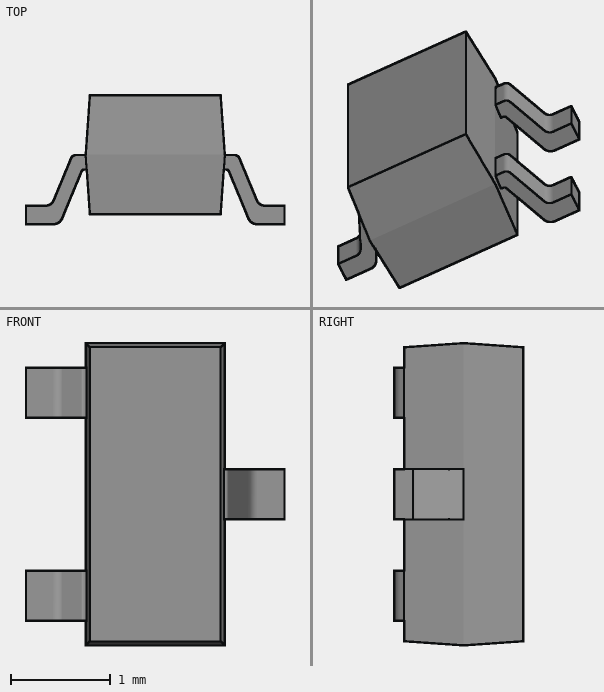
import cadquery as cq
import math


housing_width = 1.4
housing_length = 3.04
housing_depth = 1.2
half_depth = housing_depth / 2
standoff = 0.1
parting_y = standoff + half_depth
draft_angle = 4.0

lead_span = 2.6
lead_width = 0.505
lead_pitch = 2.04
foot_thickness = 0.19
shank_thickness = 0.15
foot_length = 0.34
slope_angle = 67.5
sole_bend_radius = 0.1
instep_bend_radius = 0.08
shoulder_bend_radius = 0.06
underarm_bend_radius = 0.025


def make_housing():
    """Block tapering both ways from the parting plane."""
    feet_half = (
        cq.Workplane("XZ", origin=(0, parting_y, 0))
        .rect(housing_width, housing_length)
        .extrude(half_depth, taper=draft_angle)
    )
    back_half = feet_half.mirror("XZ", basePointVector=(0, parting_y, 0))
    return feet_half.union(back_half)


def make_lead(center_z):
    """Gull-wing lead on the -X side."""
    tip_x = -lead_span / 2
    sole_corner_x = tip_x + foot_length
    run_per_rise = 1 / math.tan(math.radians(slope_angle))
    slope_gap = shank_thickness / math.sin(math.radians(slope_angle))
    underarm_y = parting_y - shank_thickness

    def sole_side_x(y):
        return sole_corner_x + y * run_per_rise

    def instep_side_x(y):
        return sole_side_x(y) - slope_gap

    sole_corner = (sole_corner_x, 0)
    underarm_corner = (sole_side_x(underarm_y), underarm_y)
    shoulder_corner = (instep_side_x(parting_y), parting_y)
    instep_corner = (instep_side_x(foot_thickness), foot_thickness)
    outline = [
        (tip_x, 0),
        sole_corner,
        underarm_corner,
        (0, underarm_y),
        (0, parting_y),
        shoulder_corner,
        instep_corner,
        (tip_x, foot_thickness),
    ]
    lead = (
        cq.Workplane("XY", origin=(0, 0, center_z))
        .polyline(outline)
        .close()
        .extrude(lead_width / 2, both=True)
    )
    bends = [
        (sole_corner, sole_bend_radius),
        (underarm_corner, underarm_bend_radius),
        (shoulder_corner, shoulder_bend_radius),
        (instep_corner, instep_bend_radius),
    ]
    for (corner_x, corner_y), radius in bends:
        bend_edge = cq.selectors.NearestToPointSelector((corner_x, corner_y, center_z))
        lead = lead.edges("|Z").edges(bend_edge).fillet(radius)
    return lead


housing = make_housing()

leads = []
for center_z in (-lead_pitch / 2, lead_pitch / 2):
    leads.append(make_lead(center_z).cut(housing))
leads.append(make_lead(0).mirror("YZ").cut(housing))

result = cq.Compound.makeCompound([housing.val(), *[lead.val() for lead in leads]])